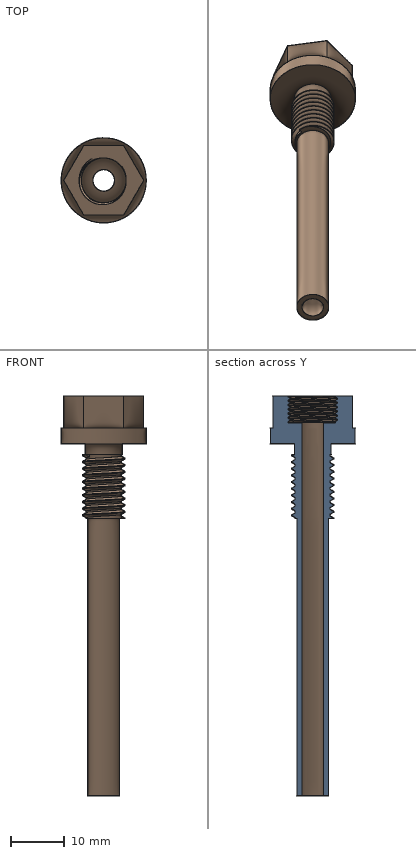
import cadquery as cq
import math

total_length = 75.0
hex_height = 6.0
flange_height = 3.0
neck_height = 2.0
screw_length = 12.0
flange_top = total_length - hex_height
flange_bottom = flange_top - flange_height
neck_bottom = flange_bottom - neck_height
screw_bottom = neck_bottom - screw_length

hex_across_flats = 13.0
flange_diameter = 16.0
neck_diameter = 7.0
tube_diameter = 6.0
bore_diameter = 4.0

thread_depth_ratio = 0.541
tip_flat_ratio = 0.125
flank_slope = math.tan(math.radians(30))
root_overlap = 0.05

screw_pitch = 1.25
screw_major_radius = 4.0
screw_core_radius = screw_major_radius - thread_depth_ratio * screw_pitch

socket_depth = 5.0
socket_pitch = 0.8
socket_minor_radius = 4.2
socket_root_radius = socket_minor_radius + thread_depth_ratio * socket_pitch
socket_groove_exit_angle = 225.0

rod_overrun = 5.0
trim_diameter = 12.0


def cylinder(diameter, bottom, top):
    return cq.Workplane("XY").workplane(offset=bottom).circle(diameter / 2).extrude(top - bottom)


def helical_ridge(base_radius, tip_radius, pitch, start, length):
    """Right-hand trapezoidal ridge whose first section is centred at (angle 0, z = start)."""
    inner_radius = base_radius - root_overlap
    tip_half = tip_flat_ratio * pitch / 2
    base_half = tip_half + (tip_radius - inner_radius) * flank_slope
    helix = cq.Wire.makeHelix(pitch, length, base_radius, center=cq.Vector(0, 0, start))
    profile = (
        cq.Workplane("XZ")
        .polyline([
            (inner_radius, start - base_half),
            (tip_radius, start - tip_half),
            (tip_radius, start + tip_half),
            (inner_radius, start + base_half),
        ])
        .close()
    )
    return profile.sweep(cq.Workplane(obj=helix), isFrenet=True)


def threaded_rod(bottom, top, ridge, core_radius):
    """Core cylinder joined to its ridge, then trimmed flat at both ends."""
    core = cylinder(2 * core_radius, bottom - rod_overrun, top + rod_overrun)
    trim = cylinder(trim_diameter, bottom, top)
    return core.union(ridge, clean=False).intersect(trim)


def make_screw():
    ridge = helical_ridge(screw_core_radius, screw_major_radius, screw_pitch, screw_bottom, screw_length)
    return threaded_rod(screw_bottom, neck_bottom, ridge, screw_core_radius)


def make_socket():
    """Solid that fills the threaded socket; its ridge becomes the thread groove."""
    floor = total_length - socket_depth
    whole_turns = math.ceil(socket_depth / socket_pitch) + 1
    rim_turn = socket_groove_exit_angle / 360
    start = total_length - (whole_turns + rim_turn) * socket_pitch
    groove_length = (whole_turns + 2) * socket_pitch
    groove = helical_ridge(socket_minor_radius, socket_root_radius, socket_pitch, start, groove_length)
    return threaded_rod(floor, total_length, groove, socket_minor_radius)


def make_head():
    hex_across_corners = hex_across_flats / math.cos(math.radians(30))
    nut = cq.Workplane("XY").workplane(offset=flange_top).polygon(6, hex_across_corners).extrude(hex_height)
    return nut.union(cylinder(flange_diameter, flange_bottom, flange_top))


tube = cylinder(tube_diameter, 0, screw_bottom)
neck = cylinder(neck_diameter, neck_bottom, flange_bottom)
bore = cylinder(bore_diameter, 0, total_length)

body = tube.union(make_screw()).union(neck).union(make_head())
result = body.cut(make_socket()).cut(bore)